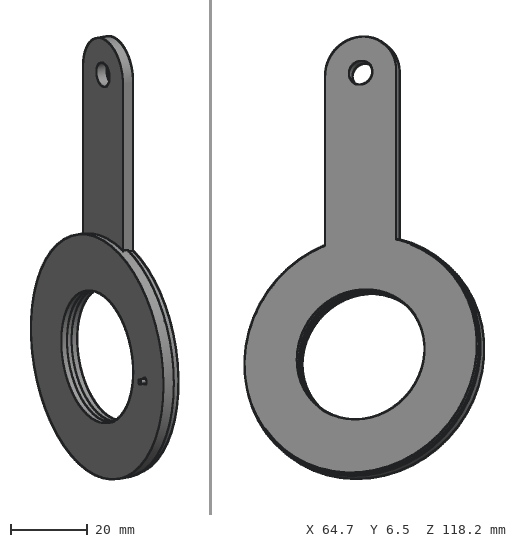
import cadquery as cq

total_height = 118.2
housing_diameter = 64.7
bore_diameter = 35.0

cover_thickness = 1.8
ring_thickness = 1.4
floor_thickness = 1.8
cover_front = -cover_thickness
ring_front = cover_front - ring_thickness
housing_front = ring_front - floor_thickness

cover_diameter = 63.7
pocket_diameter = 59.1

handle_width = 19.5
handle_hole_diameter = 6.4
handle_end_z = total_height - housing_diameter / 2 - handle_width / 2

pin_diameter = 1.3
pin_hole_diameter = 1.8
pin_x = 23.2
pin_z = -1.1
pin_projection = 1.5


def cylinder(diameter, back_y, front_y, x=0, z=0):
    """Cylinder along Y between two Y positions."""
    return (
        cq.Workplane("XZ", origin=(x, back_y, z))
        .circle(diameter / 2)
        .extrude(back_y - front_y)
    )


def make_bore():
    return cylinder(bore_diameter, 0, housing_front)


def make_handle_bar():
    """Round-ended bar from the pocket wall outward, without its hole."""
    half_width = handle_width / 2
    bar = (
        cq.Workplane("XZ")
        .moveTo(-half_width, 0)
        .lineTo(half_width, 0)
        .lineTo(half_width, handle_end_z)
        .threePointArc((0, handle_end_z + half_width), (-half_width, handle_end_z))
        .close()
        .extrude(-ring_front)
    )
    return bar.cut(cylinder(pocket_diameter, cover_front, ring_front))


def make_housing():
    """Front cup with a pocket for the ring and a rim slot for the handle."""
    body = cylinder(housing_diameter, cover_front, housing_front)
    pocket = cylinder(pocket_diameter, cover_front, ring_front)
    pin_hole = cylinder(pin_hole_diameter, ring_front, housing_front, pin_x, pin_z)
    return body.cut(pocket).cut(make_handle_bar()).cut(pin_hole).cut(make_bore())


def make_ring():
    """Flat ring filling the pocket, with the pin on its front face."""
    body = cylinder(pocket_diameter, cover_front, ring_front).cut(make_bore())
    pin = cylinder(pin_diameter, cover_front, housing_front - pin_projection, pin_x, pin_z)
    return body.union(pin)


def make_cover():
    """Back plate with the handle."""
    plate = cylinder(cover_diameter, 0, cover_front)
    handle_hole = cylinder(handle_hole_diameter, 0, ring_front, z=handle_end_z)
    return plate.union(make_handle_bar()).cut(make_bore()).cut(handle_hole)


housing = make_housing()
ring = make_ring()
cover = make_cover()

result = cq.Compound.makeCompound([housing.val(), ring.val(), cover.val()])